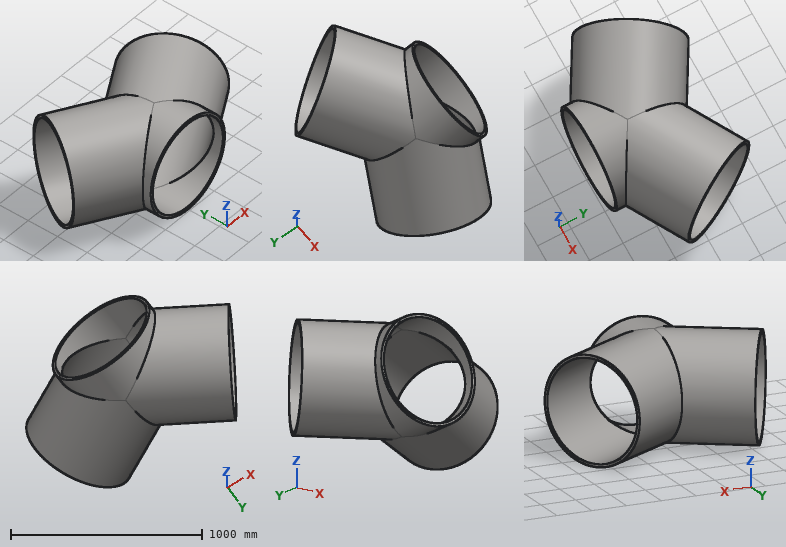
import cadquery as cq
import math

overall_width = 1273.0
outer_diameter = 610.0
inner_diameter = 575.0
inlet_length = 229.0
branch_angle = 30.0

tilt = math.radians(branch_angle)
branch_length = (overall_width / 2 - outer_diameter / 2 * math.sin(tilt)) / math.cos(tilt)

legs = [
    (inlet_length, -90.0),
    (branch_length, branch_angle),
    (branch_length, 180.0 - branch_angle),
]


def leg_cylinder(diameter, length, heading):
    """Solid cylinder from the junction centre outward along a heading."""
    angle = math.radians(heading)
    direction = cq.Vector(math.cos(angle), math.sin(angle), 0)
    return cq.Workplane(cq.Solid.makeCylinder(diameter / 2, length, cq.Vector(0, 0, 0), direction))


def joined_legs(diameter):
    """All three legs of one diameter, meeting in mitred joints."""
    body = cq.Workplane()
    for length, heading in legs:
        body = body.add(leg_cylinder(diameter, length, heading))
    return body.combine()


beyond_inlet = cq.Workplane().box(
    overall_width, outer_diameter, outer_diameter, centered=(True, False, True)
).translate((0, -inlet_length - outer_diameter, 0))
outer_body = joined_legs(outer_diameter).cut(beyond_inlet)

result = outer_body.cut(joined_legs(inner_diameter))